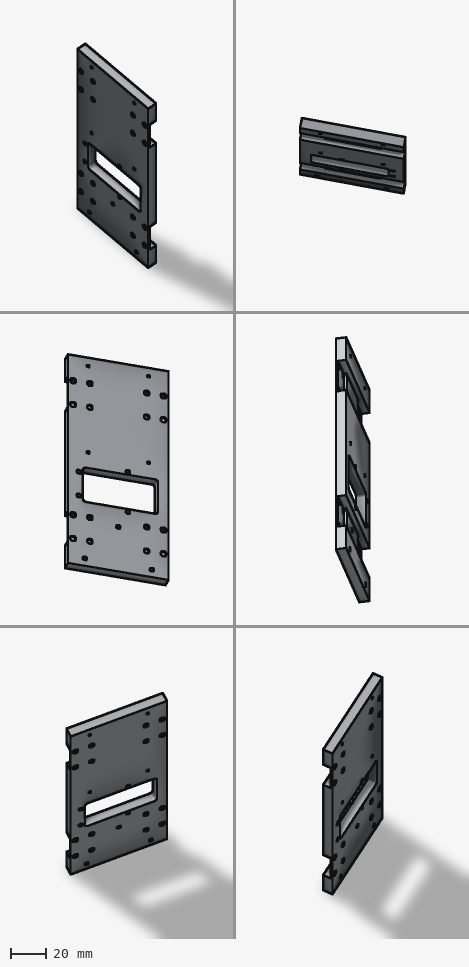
import cadquery as cq

width = 60.0
thickness = 6.0
height = 140.0

channel_offset = 45.0
channel_height = 20.0
channel_floor = 2.8
pocket_floor = 1.3
pocket_length = 16.0
pocket_radius = 2.0

carriage_pitch = 16.0
outer_column_x = 27.0
inner_column_x = 17.0
outer_hole_diameter = 3.4
inner_hole_diameter = 3.2

window_width = 44.8
window_height = 23.0
window_radius = 2.0
window_x = 1.3
window_z = -15.5

window_hole_diameter = 2.5
vertical_pair_x = 5.7
vertical_pair_pitch = 26.9
side_pair_x = -23.7
side_pair_pitch = 16.0

pin_diameter = 1.5
pin_x = 18.0
pin_rows = (64.4, 6.5)

lower_hole_diameter = 2.4
center_hole_z = -40.0
bottom_hole_x = 20.0
bottom_hole_z = -65.0


def block(x, z, size_x, size_z, front, back):
    """Box centred on (x, z), reaching from Y = front to Y = back."""
    return cq.Workplane("XY").box(size_x, back - front, size_z).translate((x, (front + back) / 2, z))


def drill(plate, points, diameter):
    """Cut holes through the full thickness at the (x, z) points."""
    holes = cq.Workplane("XZ").pushPoints(points).circle(diameter / 2).extrude(-thickness)
    return plate.cut(holes)


def cut_channel(plate, z):
    """Cut one full-width channel and the carriage pockets at its two ends."""
    plate = plate.cut(block(0, z, width, channel_height, channel_floor, thickness))
    for side in (-1, 1):
        pocket_x = side * (width - pocket_length) / 2
        pocket = block(pocket_x, z, pocket_length, channel_height, pocket_floor, thickness)
        inner_corners = "|Y and <X" if side > 0 else "|Y and >X"
        plate = plate.cut(pocket.edges(inner_corners).fillet(pocket_radius))
    return plate


result = block(0, 0, width, height, 0, thickness)

for channel_z in (-channel_offset, channel_offset):
    result = cut_channel(result, channel_z)

window = block(window_x, window_z, window_width, window_height, 0, thickness)
result = result.cut(window.edges("|Y").fillet(window_radius))

carriage_rows = [
    channel_side * channel_offset + row_side * carriage_pitch / 2
    for channel_side in (-1, 1)
    for row_side in (-1, 1)
]
for column_x, diameter in ((outer_column_x, outer_hole_diameter), (inner_column_x, inner_hole_diameter)):
    result = drill(result, [(x, z) for x in (-column_x, column_x) for z in carriage_rows], diameter)

window_holes = []
for side in (-1, 1):
    window_holes.append((vertical_pair_x, window_z + side * vertical_pair_pitch / 2))
    window_holes.append((side_pair_x, window_z + side * side_pair_pitch / 2))
result = drill(result, window_holes, window_hole_diameter)

result = drill(result, [(x, z) for x in (-pin_x, pin_x) for z in pin_rows], pin_diameter)

lower_holes = [(0, center_hole_z), (-bottom_hole_x, bottom_hole_z), (bottom_hole_x, bottom_hole_z)]
result = drill(result, lower_holes, lower_hole_diameter)